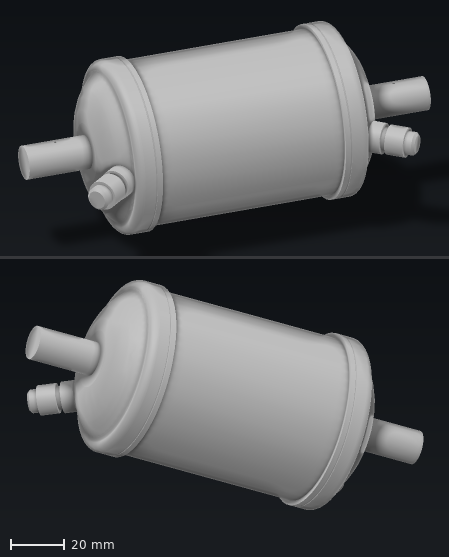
import cadquery as cq
import math

shell_radius = 31.7
cap_radius = 33.5
cap_inner_y = 36.5
cap_length = 9.9
cap_edge_fillet = 3.0

groove_offset = 2.0
groove_width = 0.6
groove_depth = 0.3

dome_top_y = 55.0
dome_flat_radius = 11.0
crown_radius = 22.0
crown_sweep = math.radians(43)
dome_foot_fillet = 2.5

overall_length = 160.0
stub_radius = 6.5
pinhole_diameter = 1.0
pinhole_depth = 1.0

fitting_angle = math.radians(51)
fitting_base_x = 24.95
fitting_base_y = 49.8
collar_radius = 6.0
collar_length = 5.0
neck_radius = 4.5
neck_length = 1.9
nut_radius = 5.75
nut_length = 7.3
tip_radius = 4.5
tip_length = 3.95
tip_chamfer = 1.0


def point_on_circle(center, radius, angle):
    """Point on a circle, with the angle measured from the radial direction."""
    return (center[0] + radius * math.cos(angle), center[1] + radius * math.sin(angle))


def make_shell():
    """Plain cylinder between the two caps."""
    return cq.Workplane("XZ").circle(shell_radius).extrude(cap_inner_y, both=True)


def make_end():
    """Cap, dome and stub on the +Y side."""
    cap_outer_y = cap_inner_y + cap_length
    groove_start = cap_inner_y + groove_offset
    quarter_turn = math.pi / 2

    edge_center = (cap_radius - cap_edge_fillet, cap_outer_y - cap_edge_fillet)

    crown_center = (dome_flat_radius, dome_top_y - crown_radius)
    crown_end_angle = quarter_turn - crown_sweep
    crown_end = point_on_circle(crown_center, crown_radius, crown_end_angle)

    sharp_foot = crown_end[0] + (crown_end[1] - cap_outer_y) / math.tan(crown_sweep)
    foot_tangent = dome_foot_fillet * math.tan(crown_sweep / 2)
    foot_center = (sharp_foot + foot_tangent, cap_outer_y + dome_foot_fillet)
    foot_end_angle = -quarter_turn - crown_sweep
    foot_middle_angle = -quarter_turn - crown_sweep / 2

    profile = (
        cq.Workplane("XY")
        .moveTo(0, cap_inner_y)
        .lineTo(cap_radius, cap_inner_y)
        .lineTo(cap_radius, groove_start)
        .threePointArc(
            (cap_radius - groove_depth, groove_start + groove_width / 2),
            (cap_radius, groove_start + groove_width),
        )
        .lineTo(cap_radius, edge_center[1])
        .threePointArc(
            point_on_circle(edge_center, cap_edge_fillet, quarter_turn / 2),
            (edge_center[0], cap_outer_y),
        )
        .lineTo(foot_center[0], cap_outer_y)
        .threePointArc(
            point_on_circle(foot_center, dome_foot_fillet, foot_middle_angle),
            point_on_circle(foot_center, dome_foot_fillet, foot_end_angle),
        )
        .lineTo(*crown_end)
        .threePointArc(
            point_on_circle(crown_center, crown_radius, quarter_turn - crown_sweep / 2),
            (dome_flat_radius, dome_top_y),
        )
        .lineTo(stub_radius, dome_top_y)
        .lineTo(stub_radius, overall_length / 2)
        .lineTo(0, overall_length / 2)
        .close()
    )
    return profile.revolve(360, (0, 0, 0), (0, 1, 0))


def make_pinhole():
    """Cutter for the pinhole in the top of the +Y stub."""
    stub_middle_y = (dome_top_y + overall_length / 2) / 2
    return (
        cq.Workplane("XY", origin=(0, stub_middle_y, stub_radius - pinhole_depth))
        .circle(pinhole_diameter / 2)
        .extrude(2 * pinhole_depth)
    )


def make_fitting():
    """Access fitting on the +Y dome: collar, neck, nut and chamfered tip."""
    base_plane = cq.Plane(
        origin=(fitting_base_x, fitting_base_y, 0),
        xDir=(math.sin(fitting_angle), -math.cos(fitting_angle), 0),
        normal=(0, 0, 1),
    )
    neck_start = collar_length
    nut_start = neck_start + neck_length
    tip_start = nut_start + nut_length
    tip_end = tip_start + tip_length
    profile = (
        cq.Workplane(base_plane)
        .moveTo(0, 0)
        .lineTo(collar_radius, 0)
        .lineTo(collar_radius, neck_start)
        .lineTo(neck_radius, neck_start)
        .lineTo(neck_radius, nut_start)
        .lineTo(nut_radius, nut_start)
        .lineTo(nut_radius, tip_start)
        .lineTo(tip_radius, tip_start)
        .lineTo(tip_radius, tip_end - tip_chamfer)
        .lineTo(tip_radius - tip_chamfer, tip_end)
        .lineTo(0, tip_end)
        .close()
    )
    return profile.revolve(360, (0, 0, 0), (0, 1, 0))


end = make_end().union(make_fitting()).cut(make_pinhole())
result = make_shell().union(end).union(end.mirror("XZ"))